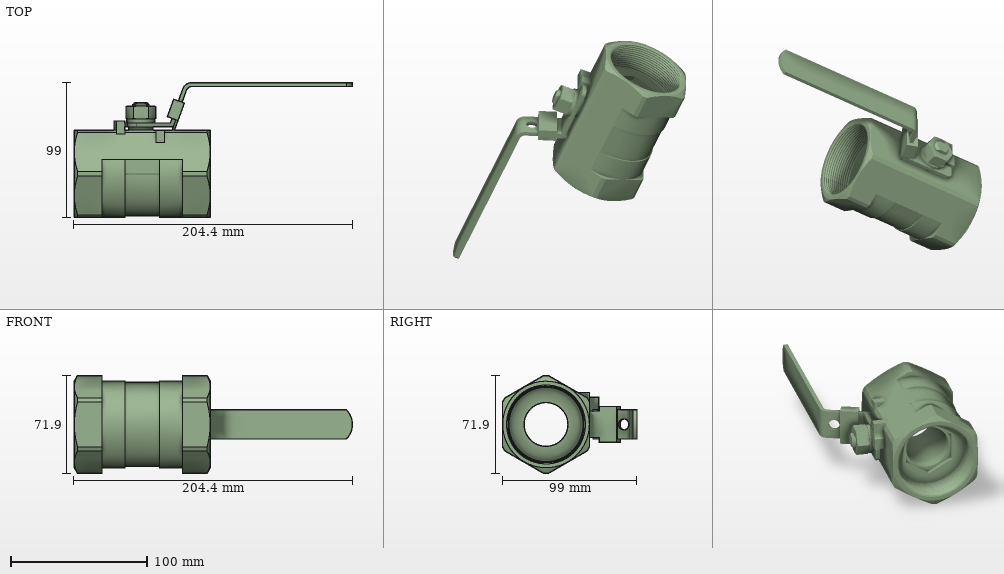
import cadquery as cq
import math

body_length = 100.0
across_flats = 64.0
across_corners = 71.89
end_face_dia = 63.6
end_chamfer_angle = 30.0
collar_dia = 64.0
waist_dia = 62.0
collar_start, collar_end = 20.5, 79.5
waist_start, waist_end = 37.4, 62.5
saddle_y = 10.4

bore_dia = 32.0
thread_mouth_dia = 55.8
thread_inner_dia = 54.6
thread_depth = 0.6
thread_pitch = 1.75
thread_turns = 12
mouth_dia = 58.0
mouth_chamfer = 0.5
port_depth = mouth_chamfer + thread_turns * thread_pitch
socket_across_corners = 40.0
socket_depth = 4.2

stem_x = 49.0
stem_dia = 12.0
stem_across_flats = 8.0
stem_top_y = 52.3
stem_chamfer = 1.5
boss_dia = 18.0
washer_dia = 21.0
nut_across_flats = 19.0
nut_chamfer_height = 0.5
nut_chamfer_width = 1.0
washer_top_y = 40.2
nut_top_y = 49.7

handle_end_x = 204.4
handle_top_y = 67.0
strip_thickness = 3.0
strip_width = 21.6
strip_end_sagitta = 4.5
foot_bottom_y = 34.4
foot_bend_x = 70.6
arm_lean = 20.0
upper_bend_radius = 4.0
finger_hole_dia = 8.0
finger_hole_y = 58.0
heel_start_x = 45.7
heel_radius = 6.5
heel_fillet = 3.0
tail_end_x = 31.0
tail_top_z = -1.0
tail_corner_radius = 3.6

sleeve_width = 26.4
sleeve_inner_wall = 3.7
lock_plate_thickness = 1.8
lock_plate_width = 19.4
sleeve_bottom = 3.5
sleeve_length = 13.7

handle_stop_x0, handle_stop_step_x, handle_stop_x1 = 29.2, 31.2, 37.2
handle_stop_top_z = 20.0
handle_stop_top_y = 38.9
handle_stop_bottom_z = 0.4
handle_stop_step_z = 8.4
handle_stop_fillet = 6.0
side_stop_x0, side_stop_x1 = 59.9, 66.2
side_stop_top_z = 23.6

half_flats = across_flats / 2
corners_per_flats = 1 / math.cos(math.radians(30))
embed = 2.0
embedded_y = half_flats - embed
foot_top_y = foot_bottom_y + strip_thickness
half_strip = strip_width / 2
lean = math.radians(arm_lean)


def box(x0, x1, y0, y1, z0, z1):
    """Axis-aligned block between two opposite corners."""
    return cq.Workplane("XY").box(x1 - x0, y1 - y0, z1 - z0, centered=False).translate((x0, y0, z0))


def x_cylinder(dia, x0, x1):
    return cq.Workplane("YZ", origin=(x0, 0, 0)).circle(dia / 2).extrude(x1 - x0)


def x_hexagon(corner_dia, x0, x1, turn):
    """Hexagonal prism along X; zero turn puts flats on the Y sides."""
    prism = cq.Workplane("YZ", origin=(x0, 0, 0)).polygon(6, corner_dia).extrude(x1 - x0)
    return prism.rotate((0, 0, 0), (1, 0, 0), 30 + turn)


def y_cylinder(dia, y0, y1):
    disc = cq.Workplane("XZ", origin=(stem_x, y0, 0)).circle(dia / 2)
    return disc.extrude(y0 - y1)


def hexagon_envelope():
    """Full-length hexagon with blunted corners and chamfered ends."""
    prism = x_hexagon(across_flats * corners_per_flats, 0, body_length, 0)
    blunt = x_hexagon(across_corners * corners_per_flats, 0, body_length, 30)
    end_radius = end_face_dia / 2
    rim_radius = across_flats * corners_per_flats / 2
    run = (rim_radius - end_radius) * math.tan(math.radians(end_chamfer_angle))
    turned = (
        cq.Workplane("XY")
        .polyline([
            (0, 0), (0, end_radius), (run, rim_radius),
            (body_length - run, rim_radius), (body_length, end_radius), (body_length, 0),
        ])
        .close()
        .revolve(360, (0, 0, 0), (1, 0, 0))
    )
    return prism.intersect(blunt).intersect(turned)


def port():
    """Recess opening at X = 0, with tapering ring grooves for the thread."""
    start_radius = thread_mouth_dia / 2
    taper = (thread_mouth_dia - thread_inner_dia) / 2 / thread_turns
    points = [(0, 0), (0, mouth_dia / 2), (mouth_chamfer, start_radius)]
    for turn in range(thread_turns):
        groove_start = mouth_chamfer + turn * thread_pitch
        crest_radius = start_radius - (turn + 1) * taper
        points.append((groove_start + thread_pitch / 2, crest_radius + thread_depth))
        points.append((groove_start + thread_pitch, crest_radius))
    points.append((port_depth, 0))
    return cq.Workplane("XY").polyline(points).close().revolve(360, (0, 0, 0), (1, 0, 0))


def valve_body():
    envelope = hexagon_envelope()
    reach = across_corners
    middle = box(collar_start, collar_end, -reach, saddle_y, -reach, reach)
    body = envelope.cut(middle)
    body = body.union(x_cylinder(waist_dia, collar_start, collar_end))
    waist_radius = waist_dia / 2
    body = body.union(
        box(waist_start, waist_end, 0, saddle_y, -waist_radius, waist_radius)
    )
    for x0, x1 in ((collar_start, waist_start), (waist_end, collar_end)):
        body = body.union(x_cylinder(collar_dia, x0, x1))
    left_port = port()
    body = body.cut(left_port)
    body = body.cut(left_port.mirror("YZ").translate((body_length, 0, 0)))
    body = body.cut(x_hexagon(socket_across_corners, port_depth, port_depth + socket_depth, 0))
    return body.cut(x_cylinder(bore_dia, port_depth, body_length - port_depth))


def stem():
    """Boss, washer and threaded stem with two flats across Z."""
    boss = y_cylinder(boss_dia, embedded_y, foot_bottom_y)
    washer = y_cylinder(washer_dia, foot_top_y, washer_top_y)
    rod = y_cylinder(stem_dia, embedded_y, stem_top_y).faces(">Y").chamfer(stem_chamfer)
    flats = box(
        stem_x - stem_dia, stem_x + stem_dia, embedded_y, stem_top_y,
        -stem_across_flats / 2, stem_across_flats / 2,
    )
    return boss.union(washer).union(rod.intersect(flats))


def nut():
    """Hexagon nut with a corner on each X side, chamfered at both ends."""
    height = nut_top_y - washer_top_y
    corner_radius = nut_across_flats * corners_per_flats / 2
    prism = (
        cq.Workplane("XZ", origin=(stem_x, washer_top_y, 0))
        .polygon(6, 2 * corner_radius)
        .extrude(-height)
    )
    face_radius = corner_radius - nut_chamfer_width
    turned = (
        cq.Workplane("XY", origin=(stem_x, washer_top_y, 0))
        .polyline([
            (0, 0), (face_radius, 0), (corner_radius, nut_chamfer_height),
            (corner_radius, height - nut_chamfer_height), (face_radius, height), (0, height),
        ])
        .close()
        .revolve(360, (0, 0, 0), (0, 1, 0))
    )
    return prism.intersect(turned)


def strip_outline():
    """Handle seen along Y: notched tail at the left, rounded grip end at the right."""
    heel_x = heel_start_x - heel_radius
    grip_arc_x = handle_end_x - strip_end_sagitta
    outline = (
        cq.Workplane("XZ")
        .moveTo(heel_start_x, half_strip)
        .lineTo(grip_arc_x, half_strip)
        .threePointArc((handle_end_x, 0), (grip_arc_x, -half_strip))
        .lineTo(tail_end_x + tail_corner_radius, -half_strip)
        .radiusArc((tail_end_x, tail_corner_radius - half_strip), tail_corner_radius)
        .lineTo(tail_end_x, tail_top_z)
        .lineTo(heel_x - heel_fillet, tail_top_z)
        .radiusArc((heel_x, tail_top_z + heel_fillet), -heel_fillet)
        .lineTo(heel_x, half_strip - heel_radius)
        .radiusArc((heel_start_x, half_strip), heel_radius)
        .close()
    )
    return outline.extrude(-2 * handle_top_y)


def arm_x(y, offset=0.0):
    """X of the plane parallel to the arm's inner face, offset toward +X, at height y."""
    return foot_bend_x + (y - foot_top_y) * math.tan(lean) + offset / math.cos(lean)


def handle():
    grip_bottom_y = handle_top_y - strip_thickness
    bent = (
        cq.Workplane("XY", origin=(0, 0, -half_strip))
        .polyline([
            (tail_end_x, foot_bottom_y),
            (arm_x(foot_bottom_y, strip_thickness), foot_bottom_y),
            (arm_x(grip_bottom_y, strip_thickness), grip_bottom_y),
            (handle_end_x, grip_bottom_y),
            (handle_end_x, handle_top_y),
            (arm_x(handle_top_y), handle_top_y),
            (foot_bend_x, foot_top_y),
            (tail_end_x, foot_top_y),
        ])
        .close()
        .extrude(strip_width)
    )
    corners = (
        (arm_x(grip_bottom_y, strip_thickness), grip_bottom_y, upper_bend_radius),
        (arm_x(handle_top_y), handle_top_y, upper_bend_radius + strip_thickness),
    )
    for x, y, radius in corners:
        bent = bent.edges(cq.NearestToPointSelector((x, y, 0))).fillet(radius)
    hole_axis_x = arm_x(finger_hole_y)
    hole = (
        cq.Workplane("YZ", origin=(hole_axis_x, finger_hole_y, 0))
        .circle(finger_hole_dia / 2)
        .extrude(2 * strip_width, both=True)
        .rotate((hole_axis_x, finger_hole_y, 0), (hole_axis_x, finger_hole_y, 1), -arm_lean)
    )
    return bent.intersect(strip_outline()).cut(hole)


def along_arm(offset0, offset1, start, end, width):
    """Block lying along the arm; offsets run square to it from its inner face."""
    block = box(offset0, offset1, start, end, -width / 2, width / 2)
    block = block.rotate((0, 0, 0), (0, 0, 1), -arm_lean)
    return block.translate((foot_bend_x, foot_top_y, 0))


def lock():
    """Sleeve around the arm and the plate that reaches from it down to the body."""
    outer = strip_thickness + lock_plate_thickness
    sleeve = along_arm(-sleeve_inner_wall, outer, sleeve_bottom, sleeve_bottom + sleeve_length, sleeve_width)
    plate = along_arm(strip_thickness, outer, -half_flats, sleeve_bottom, lock_plate_width)
    above_body = box(0, body_length, embedded_y, handle_top_y, -lock_plate_width, lock_plate_width)
    return sleeve.union(plate.intersect(above_body))


def hexagon_y(z):
    """Height of the sloping body face at the given Z."""
    return across_flats - z * math.tan(math.radians(60))


def handle_stop():
    """Lug that the handle tail meets; its outer side steps out through a concave fillet."""
    step = handle_stop_step_x - handle_stop_x0
    rise = math.sqrt(handle_stop_fillet**2 - (handle_stop_fillet - step) ** 2)
    base_y = hexagon_y(handle_stop_top_z)
    return (
        cq.Workplane("XZ", origin=(0, base_y, 0))
        .moveTo(handle_stop_x1, handle_stop_bottom_z)
        .lineTo(handle_stop_x1, handle_stop_top_z)
        .lineTo(handle_stop_step_x, handle_stop_top_z)
        .lineTo(handle_stop_step_x, handle_stop_step_z + rise)
        .radiusArc((handle_stop_x0, handle_stop_step_z), handle_stop_fillet)
        .lineTo(handle_stop_x0, handle_stop_bottom_z)
        .close()
        .extrude(base_y - handle_stop_top_y)
    )


def side_stop():
    """Block filling the corner between the top flat and the sloping body face."""
    base_y = hexagon_y(side_stop_top_z)
    root_z = half_flats / 2
    return box(side_stop_x0, side_stop_x1, base_y, half_flats, root_z, side_stop_top_z)


result = valve_body()
for piece in (handle_stop(), side_stop(), stem(), handle(), nut(), lock()):
    result = result.union(piece)